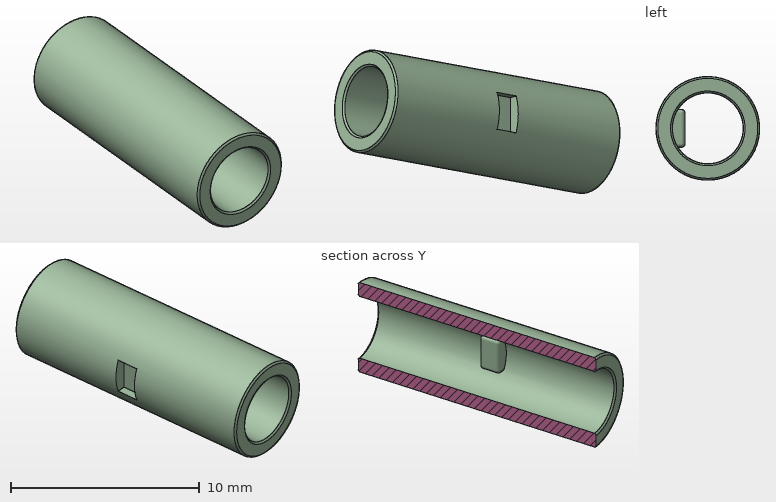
import cadquery as cq

length = 15.0
outer_radius = 8.25 / 3
bore_radius = 1.88
rim_chamfer = 0.1

key_length = 1.26
key_height = 2.01
key_radius = 0.2
key_face_y = 1.2
press_depth = bore_radius - key_face_y
dent_floor_y = outer_radius - press_depth


def key_box(start_y, end_y):
    """Rectangular prism running along Y at the middle of the tube."""
    depth = end_y - start_y
    return cq.Workplane("XY").box(key_length, depth, key_height).translate((0, start_y + depth / 2, 0))


def make_tube():
    return (
        cq.Workplane("YZ")
        .circle(outer_radius)
        .circle(bore_radius)
        .extrude(length / 2, both=True)
        .faces("<X or >X")
        .edges()
        .chamfer(rim_chamfer)
    )


def make_block():
    """Block with rounded sides and inner face, ending inside the wall at the dent floor."""
    block = key_box(key_face_y, dent_floor_y)
    return block.edges("|Y or <Y").fillet(key_radius)


dent = key_box(dent_floor_y, outer_radius + press_depth)

result = make_tube().union(make_block()).cut(dent)